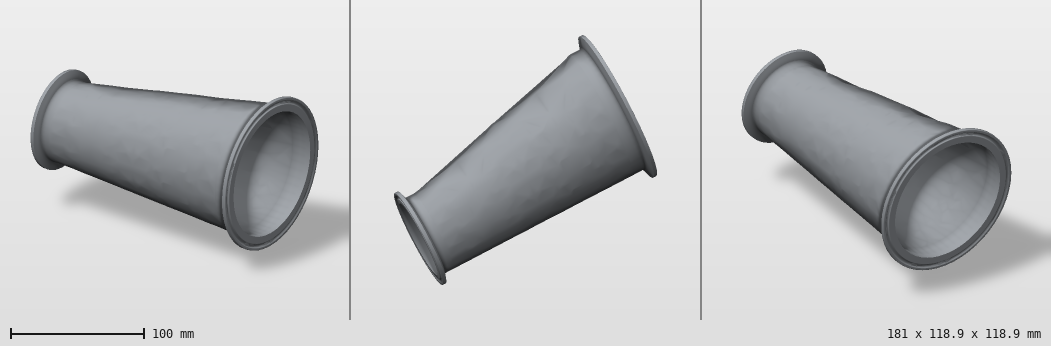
import cadquery as cq

length = 181.0
small_tube_od = 63.5
small_tube_id = 60.3
large_tube_od = 101.5
large_tube_id = 97.4

small_tangent = 12.7
large_tangent = 16.0

small_flange_od = 77.5
large_flange_od = 118.9
rim_width = 2.9
rim_edge_round = 0.5
back_slope = 0.35
neck_fillet = 1.0
groove_inset = 3.6
groove_half_width = 1.5
groove_depth = 1.3
groove_edge_round = 0.5

edge_tolerance = 0.2

small_end_y = (small_tube_od - large_tube_od) / 2


def circle_at(x, radius):
    """Selector for the circular edge of this radius around the X axis."""
    outer = radius + edge_tolerance
    inner = radius - edge_tolerance
    near_x = x - edge_tolerance
    far_x = x + edge_tolerance
    disc = cq.selectors.BoxSelector((near_x, -outer, -outer), (far_x, outer, outer), boundingbox=True)
    core = cq.selectors.BoxSelector((near_x, -inner, -inner), (far_x, inner, inner), boundingbox=True)
    return disc - core


def ferrule(flange_od, tube_od, tube_id, tangent):
    """Tube stub along +X with its clamp flange and gasket groove at X = 0."""
    rim_r = flange_od / 2
    tube_r = tube_od / 2
    bore_r = tube_id / 2
    groove_r = rim_r - groove_inset
    neck_x = rim_width + back_slope * (rim_r - tube_r)
    blank = (
        cq.Workplane("XY")
        .moveTo(0, bore_r)
        .lineTo(0, groove_r - groove_half_width)
        .threePointArc((groove_depth, groove_r), (0, groove_r + groove_half_width))
        .lineTo(0, rim_r)
        .lineTo(rim_width, rim_r)
        .lineTo(neck_x, tube_r)
        .lineTo(tangent, tube_r)
        .lineTo(tangent, bore_r)
        .close()
        .revolve(360, (0, 0, 0), (1, 0, 0))
    )
    blank = blank.edges(circle_at(neck_x, tube_r)).fillet(neck_fillet)
    blank = blank.edges(circle_at(0, rim_r)).fillet(rim_edge_round)
    for groove_edge_r in (groove_r - groove_half_width, groove_r + groove_half_width):
        blank = blank.edges(circle_at(0, groove_edge_r)).fillet(groove_edge_round)
    return blank


def eccentric_cone(small_d, large_d):
    """Solid lofted between the two tube ends."""
    return (
        cq.Workplane("YZ", origin=(small_tangent, 0, 0))
        .center(small_end_y, 0)
        .circle(small_d / 2)
        .workplane(offset=length - small_tangent - large_tangent)
        .center(-small_end_y, 0)
        .circle(large_d / 2)
        .loft(ruled=True)
    )


small_end = ferrule(small_flange_od, small_tube_od, small_tube_id, small_tangent)
small_end = small_end.translate((0, small_end_y, 0))

large_end = ferrule(large_flange_od, large_tube_od, large_tube_id, large_tangent)
large_end = large_end.mirror("YZ").translate((length, 0, 0))

reducer = eccentric_cone(small_tube_od, large_tube_od).cut(eccentric_cone(small_tube_id, large_tube_id))

result = reducer.union(small_end).union(large_end)